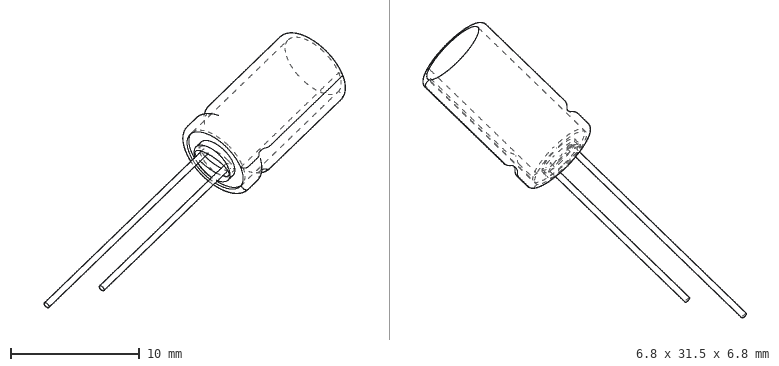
import cadquery as cq
import math

overall_length = 31.5
outer_radius = 6.8 / 2
end_fillet = 0.3

sleeve_length = 12.1
bore_radius = 5.6 / 2
stripe_half_angle = 24.4

groove_from_back = 9.9
groove_depth = 0.38
groove_half_width = 0.75
groove_lip_radius = 0.38

face_recess = 0.22
standoff_radius = 3.6 / 2
standoff_projection = 0.38
window_half_length = 1.7
window_half_height = 0.88

lead_radius = 0.5 / 2
lead_offset = 1.15
short_lead_tip = 4.0

back_y = overall_length
rim_y = back_y - sleeve_length
face_y = rim_y + face_recess
standoff_y = rim_y - standoff_projection


def cylinder(radius, start_y, end_y, x=0):
    """Cylinder along Y between two Y positions."""
    plane = cq.Workplane("XZ", origin=(x, end_y, 0))
    return plane.circle(radius).extrude(end_y - start_y)


def shell_profile():
    """Half section of the sleeve: filleted ends and a smooth groove, revolved about Y."""
    groove_y = back_y - groove_from_back
    root_radius = outer_radius - groove_depth
    arc_sum = (groove_half_width**2 + groove_depth**2) / (2 * groove_depth)
    root_arc = arc_sum - groove_lip_radius
    slope = math.asin(groove_half_width / arc_sum)
    joint_y = root_arc * math.sin(slope)
    joint_radius = root_radius + root_arc * (1 - math.cos(slope))
    lip_mid_y = groove_half_width - groove_lip_radius * math.sin(slope / 2)
    lip_mid_radius = outer_radius - groove_lip_radius * (1 - math.cos(slope / 2))
    corner_mid = end_fillet * (1 - math.sqrt(0.5))

    return (
        cq.Workplane("XY")
        .moveTo(bore_radius, rim_y)
        .lineTo(outer_radius - end_fillet, rim_y)
        .threePointArc(
            (outer_radius - corner_mid, rim_y + corner_mid),
            (outer_radius, rim_y + end_fillet),
        )
        .lineTo(outer_radius, groove_y - groove_half_width)
        .threePointArc((lip_mid_radius, groove_y - lip_mid_y), (joint_radius, groove_y - joint_y))
        .threePointArc((root_radius, groove_y), (joint_radius, groove_y + joint_y))
        .threePointArc(
            (lip_mid_radius, groove_y + lip_mid_y),
            (outer_radius, groove_y + groove_half_width),
        )
        .lineTo(outer_radius, back_y - end_fillet)
        .threePointArc(
            (outer_radius - corner_mid, back_y - corner_mid),
            (outer_radius - end_fillet, back_y),
        )
        .lineTo(bore_radius, back_y)
        .close()
    )


def shell_arc(start_angle, sweep):
    """Part of the sleeve wall, measured around Y from the +X direction."""
    wall = shell_profile().revolve(sweep, (0, 0, 0), (0, 1, 0))
    return wall.rotate((0, 0, 0), (0, 1, 0), start_angle)


def make_sleeve():
    return shell_arc(stripe_half_angle, 360 - 2 * stripe_half_angle)


def make_stripe():
    return shell_arc(-stripe_half_angle, 2 * stripe_half_angle)


def make_core():
    return cylinder(bore_radius, face_y, back_y)


def make_standoff():
    """Round pad on the core face, cut through by a lens-shaped window around the leads."""
    window = (
        cq.Workplane("XZ", origin=(0, face_y, 0))
        .ellipse(window_half_length, window_half_height)
        .extrude(face_y - standoff_y)
    )
    return cylinder(standoff_radius, standoff_y, face_y).cut(window)


def make_lead(x, tip_y):
    return cylinder(lead_radius, tip_y, face_y, x)


sleeve = make_sleeve()
stripe = make_stripe()
core = make_core()
standoff = make_standoff()
leads = [make_lead(x, tip_y) for x, tip_y in ((-lead_offset, 0), (lead_offset, short_lead_tip))]

result = cq.Compound.makeCompound([
    sleeve.val(),
    stripe.val(),
    core.val(),
    standoff.val(),
    *[lead.val() for lead in leads],
])